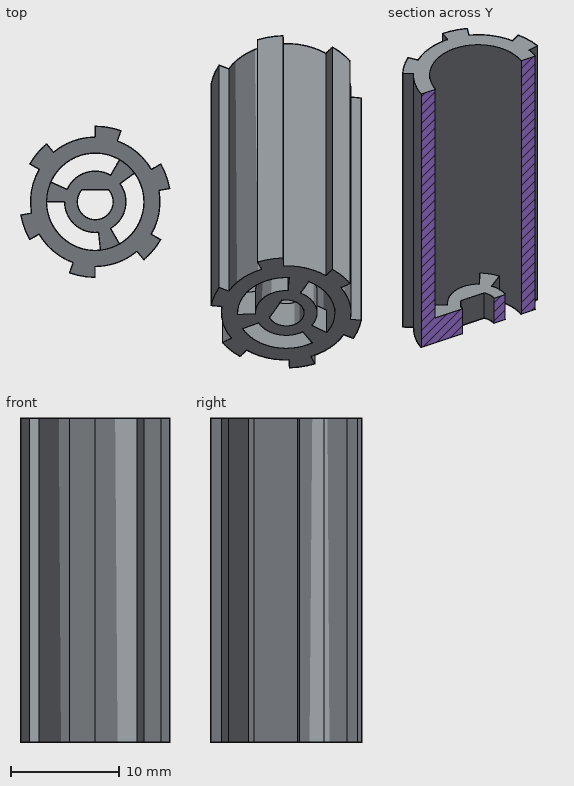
import cadquery as cq
import math

length = 30.0
tooth_tip_diameter = 14.0
sleeve_diameter = 12.0
bore_diameter = 9.0
tooth_count = 6
tooth_start_angle = 10.0
tooth_angle = 20.0

hub_diameter = 5.7
shaft_diameter = 3.3
shaft_flat_offset = 1.1
spoke_count = 3
spoke_start_angle = 36.0
spoke_angle = 24.0
web_thickness = 3.0

overlap = 0.15


def ring_sector(inner_radius, outer_radius, start_angle, angle, height):
    """Block between two concentric arcs with radial sides, standing on Z = 0."""

    def point(radius, degrees):
        a = math.radians(degrees)
        return (radius * math.cos(a), radius * math.sin(a))

    middle_angle = start_angle + angle / 2
    end_angle = start_angle + angle
    return (
        cq.Workplane("XY")
        .moveTo(*point(inner_radius, start_angle))
        .lineTo(*point(outer_radius, start_angle))
        .threePointArc(point(outer_radius, middle_angle), point(outer_radius, end_angle))
        .lineTo(*point(inner_radius, end_angle))
        .threePointArc(point(inner_radius, middle_angle), point(inner_radius, start_angle))
        .close()
        .extrude(height)
    )


def make_sleeve():
    sleeve = cq.Workplane("XY").circle(sleeve_diameter / 2).circle(bore_diameter / 2).extrude(length)
    for i in range(tooth_count):
        start_angle = tooth_start_angle + i * 360 / tooth_count
        tooth = ring_sector(
            sleeve_diameter / 2 - overlap, tooth_tip_diameter / 2, start_angle, tooth_angle, length
        )
        sleeve = sleeve.union(tooth)
    return sleeve


def make_hub():
    """Hub with a shaft hole whose +Y side is flat."""
    shaft_radius = shaft_diameter / 2
    flat_half_width = math.sqrt(shaft_radius**2 - shaft_flat_offset**2)
    shaft = (
        cq.Workplane("XY")
        .moveTo(-flat_half_width, shaft_flat_offset)
        .threePointArc((0, -shaft_radius), (flat_half_width, shaft_flat_offset))
        .close()
        .extrude(web_thickness)
    )
    return cq.Workplane("XY").circle(hub_diameter / 2).extrude(web_thickness).cut(shaft)


result = make_sleeve().union(make_hub())
for i in range(spoke_count):
    start_angle = spoke_start_angle + i * 360 / spoke_count
    spoke = ring_sector(
        hub_diameter / 2 - overlap, bore_diameter / 2 + overlap, start_angle, spoke_angle, web_thickness
    )
    result = result.union(spoke)